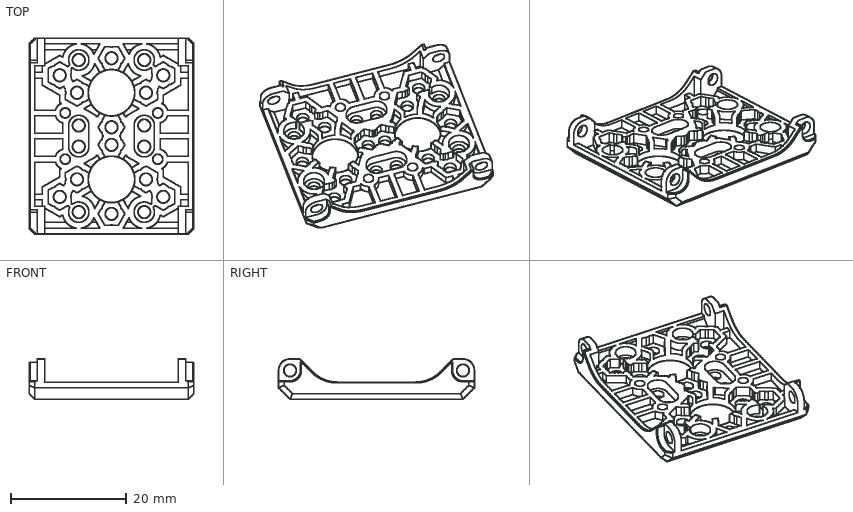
import cadquery as cq
import math

length_x = 28.6
length_y = 34.0
height = 7.0
half_x = length_x / 2
half_y = length_y / 2
side_bevel = 1.0
end_bevel = 2.0

rim_z = 3.0
floor_z = 1.5
nut_floor_z = 1.2
rim_width = 1.0
end_rim_width = 1.02
rib_width = 1.0

lug_hole_radius = 1.05
lug_round_radius = 2.0
lug_hole_y = half_y - lug_round_radius
lug_hole_z = height - lug_round_radius
lug_inner_x = 11.55
lug_outer_x = 12.9
lug_end_y = 12.2
crest_y = 13.33
crest_blend_radius = 0.45
sweep_radius = 6.0
recess_radius = 1.8
wall_top_z = 6.43
wall_edge_chamfer = 0.17

mount_y = 7.5
bore_radius = 4.0
bore_lip_radius = 0.5
bolt_circle = 6.0
corner_bolt_offset = 5.68
screw_radius = 1.05
diagonal_nut = (-8.98, 10.55)
pin_x = -8.02
pin_y = 4.0
pin_radius = 0.85
head_radius = 1.77
head_boss_radius = 2.82
slot_boss_reach = 2.8
web_end_y = 3.35
pin_boss_radius = 1.77

nut_apothem = 2.0
nut_boss_apothem = nut_apothem + rib_width
crush_rib_radius = 0.4
crush_rib_height = 0.1
nut_gap_length = 1.85
nut_gap_depth = 1.02
head_gap_width = 0.65

side_nut = (-bolt_circle, mount_y)
top_nut = (0, mount_y + bolt_circle)
centre_nut = (0, mount_y - bolt_circle)
head = (-corner_bolt_offset, mount_y + corner_bolt_offset)
slot_end = (-corner_bolt_offset, mount_y - corner_bolt_offset)
pin = (pin_x, pin_y)

nuts = [
    (diagonal_nut, 0, (0, 120, 240)),
    (side_nut, 0, (180, 60, 300)),
    (top_nut, 30, (90, 210, 330)),
    (centre_nut, 30, (30, 150, 210, 330)),
]

lean = math.sqrt(0.5)


def block(x0, x1, y0, y1, z0, z1):
    return cq.Workplane("XY").box(x1 - x0, y1 - y0, z1 - z0, centered=False).translate((x0, y0, z0))


def disc(centre, radius, z0, z1):
    return cq.Workplane("XY", origin=(0, 0, z0)).center(*centre).circle(radius).extrude(z1 - z0)


def hexagon(centre, apothem, flat_angle, z0, z1):
    prism = cq.Workplane("XY").polygon(6, 2 * apothem / math.cos(math.pi / 6)).extrude(z1 - z0)
    prism = prism.rotate((0, 0, 0), (0, 0, 1), flat_angle + 30)
    return prism.translate((centre[0], centre[1], z0))


def bar(centre, along, across, angle, z0, z1):
    strip = cq.Workplane("XY").rect(along, across).extrude(z1 - z0)
    return strip.rotate((0, 0, 0), (0, 0, 1), angle).translate((centre[0], centre[1], z0))


def midpoint(a, b):
    return ((a[0] + b[0]) / 2, (a[1] + b[1]) / 2)


def both_x(shape):
    return shape.union(shape.mirror("YZ"))


def four_ways(shape):
    left = shape.union(shape.mirror("XZ"))
    return both_x(left)


def side_profile():
    """Y-Z outline with the lugs, slopes and sweeping arcs, extruded over X."""
    half_slope = math.radians(22.5)
    sweep_top_z = rim_z + sweep_radius * (1 - lean)
    sweep_top_y = crest_y - (height - sweep_top_z)
    sweep_end_y = sweep_top_y - sweep_radius * lean
    sweep_mid = (
        sweep_end_y + sweep_radius * math.sin(half_slope),
        rim_z + sweep_radius * (1 - math.cos(half_slope)),
    )
    blend = crest_blend_radius * math.tan(half_slope)
    blend_start_y = crest_y + blend
    blend_mid = (
        blend_start_y - crest_blend_radius * math.sin(half_slope),
        height - crest_blend_radius * (1 - math.cos(half_slope)),
    )
    blend_end = (crest_y - blend * lean, height - blend * lean)
    round_mid = (lug_hole_y + lug_round_radius * lean, lug_hole_z + lug_round_radius * lean)

    half = (
        cq.Workplane("YZ")
        .moveTo(0, 0)
        .lineTo(half_y - end_bevel, 0)
        .lineTo(half_y, end_bevel)
        .lineTo(half_y, lug_hole_z)
        .threePointArc(round_mid, (lug_hole_y, height))
        .lineTo(blend_start_y, height)
        .threePointArc(blend_mid, blend_end)
        .lineTo(sweep_top_y, sweep_top_z)
        .threePointArc(sweep_mid, (sweep_end_y, rim_z))
        .lineTo(0, rim_z)
        .close()
        .extrude(half_x, both=True)
    )
    return half.union(half.mirror("XZ"))


def envelope():
    """Side profile with bevels running down the corners and along the bottom of both sides."""
    blank = (
        cq.Workplane("YZ")
        .polyline([
            (-half_y, end_bevel), (-half_y + end_bevel, 0), (half_y - end_bevel, 0),
            (half_y, end_bevel), (half_y, height + side_bevel), (-half_y, height + side_bevel),
        ])
        .close()
        .extrude(half_x, both=True)
        .faces("<X or >X")
        .chamfer(side_bevel)
    )
    return side_profile().intersect(blank)


def lug_recess():
    """Corner clearance outside one lug: a quarter round below, open to the end and the top."""
    recess_y = lug_hole_y - recess_radius
    barrel = (
        cq.Workplane("YZ", origin=(-half_x, 0, 0))
        .center(lug_hole_y, lug_hole_z)
        .circle(recess_radius)
        .extrude(half_x - lug_outer_x)
    )
    above = block(-half_x, -lug_outer_x, recess_y, half_y, lug_hole_z, height)
    beside = block(-half_x, -lug_outer_x, lug_hole_y, half_y, lug_hole_z - recess_radius, height)
    wall_cap = block(-half_x, -lug_outer_x, lug_end_y, half_y, wall_top_z, height)
    return barrel.union(above).union(beside).union(wall_cap)


def frame():
    """Solid tray with its side walls and lugs, before the inside is hollowed."""
    wall_inner_x = half_x - rim_width
    body = envelope()
    body = body.cut(block(-lug_inner_x, lug_inner_x, -half_y, half_y, rim_z, height))
    body = body.cut(block(-wall_inner_x, wall_inner_x, -lug_end_y, lug_end_y, rim_z, height))
    body = body.cut(four_ways(lug_recess()))
    corner_middle_x = half_x - side_bevel / 2
    margin = 0.05
    for side in (-1, 1):
        outer_edges = cq.selectors.BoxSelector(
            (side * (corner_middle_x - margin), -half_y, rim_z - margin),
            (side * (half_x + margin), half_y, height),
        )
        body = body.edges(outer_edges).chamfer(wall_edge_chamfer)
    lug_holes = (
        cq.Workplane("YZ")
        .pushPoints([(lug_hole_y, lug_hole_z), (-lug_hole_y, lug_hole_z)])
        .circle(lug_hole_radius)
        .extrude(half_x, both=True)
    )
    return body.cut(lug_holes)


def ribs():
    """Everything that stays standing inside the tray."""
    quarter = block(-half_x, -lug_inner_x, lug_end_y, half_y, 0, rim_z)
    for centre, flat_angle, _ in nuts:
        quarter = quarter.union(hexagon(centre, nut_boss_apothem, flat_angle, 0, rim_z))
    quarter = quarter.union(disc(head, head_boss_radius, 0, rim_z))
    quarter = quarter.union(disc(pin, pin_boss_radius, 0, rim_z))
    slot_outer_x = slot_end[0] - slot_boss_reach
    slot_boss = hexagon(slot_end, nut_boss_apothem, 0, 0, rim_z)
    quarter = quarter.union(slot_boss.intersect(block(slot_outer_x, 0, 0, half_y, 0, rim_z)))
    quarter = quarter.union(block(slot_outer_x, 0, 0, slot_end[1], 0, rim_z))
    quarter = quarter.union(block(slot_end[0], 0, 0, web_end_y, 0, rim_z))
    for start_x, y in ((slot_end[0], 0), pin, diagonal_nut):
        quarter = quarter.union(block(-half_x, start_x, y - rib_width / 2, y + rib_width / 2, 0, rim_z))
    return four_ways(quarter)


def cavity():
    """Inside of the tray, sloped at both ends to follow the outer bevel."""
    inner_x = half_x - rim_width
    inner_y = half_y - end_rim_width
    slope_top_z = floor_z + end_rim_width
    foot_y = inner_y - end_rim_width
    return (
        cq.Workplane("YZ")
        .polyline([
            (-foot_y, floor_z), (foot_y, floor_z), (inner_y, slope_top_z),
            (inner_y, rim_z), (-inner_y, rim_z), (-inner_y, slope_top_z),
        ])
        .close()
        .extrude(inner_x, both=True)
    )


def nut_pocket(centre, flat_angle, crush_angles):
    """Hexagonal pocket with slim crush ribs on some of its flats."""
    pocket = hexagon(centre, nut_apothem, flat_angle, nut_floor_z, rim_z)
    reach = nut_apothem + crush_rib_radius - crush_rib_height
    for angle in crush_angles:
        turn = math.radians(angle)
        at = (centre[0] + reach * math.cos(turn), centre[1] + reach * math.sin(turn))
        pocket = pocket.cut(disc(at, crush_rib_radius, nut_floor_z, rim_z))
    return pocket


def hardware_pockets():
    quarter = disc(head, head_radius, nut_floor_z, rim_z)
    for nut in nuts:
        quarter = quarter.union(nut_pocket(*nut))
    quarter = quarter.union(disc(slot_end, head_radius, nut_floor_z, rim_z))
    slot_x = slot_end[0]
    quarter = quarter.union(
        block(slot_x - head_radius, slot_x + head_radius, 0, slot_end[1], nut_floor_z, rim_z)
    )
    flat_length = 2 * nut_apothem * math.tan(math.pi / 6)
    bore_span = 2 * (bolt_circle - nut_apothem)
    quarter = quarter.union(bar((0, mount_y), bore_span, flat_length, 0, nut_floor_z, rim_z))
    quarter = quarter.union(bar((0, mount_y), bore_span, flat_length, 90, nut_floor_z, rim_z))
    nut_gap = midpoint(diagonal_nut, side_nut)
    quarter = quarter.union(bar(nut_gap, nut_gap_length, nut_gap_depth, 30, nut_floor_z, rim_z))
    run = (head[0] - diagonal_nut[0], head[1] - diagonal_nut[1])
    heading = math.degrees(math.atan2(run[1], run[0]))
    head_gap = midpoint(diagonal_nut, head)
    quarter = quarter.union(
        bar(head_gap, nut_apothem, head_gap_width, heading, nut_floor_z, rim_z)
    )
    return four_ways(quarter)


def through_holes():
    quarter = disc(pin, pin_radius, 0, rim_z)
    for centre in (diagonal_nut, side_nut, top_nut, centre_nut, head, slot_end):
        quarter = quarter.union(disc(centre, screw_radius, 0, rim_z))
    return four_ways(quarter)


def motor_bore():
    """Large bore that flares out with a rounded lip at the rib tops."""
    lip_outer = bore_radius + bore_lip_radius
    lip_mid = (lip_outer - bore_lip_radius * lean, rim_z - bore_lip_radius * (1 - lean))
    bore = (
        cq.Workplane("XZ")
        .moveTo(0, 0)
        .lineTo(bore_radius, 0)
        .lineTo(bore_radius, rim_z - bore_lip_radius)
        .threePointArc(lip_mid, (lip_outer, rim_z))
        .lineTo(0, rim_z)
        .close()
        .revolve(360, (0, 0, 0), (0, 1, 0))
    )
    return bore.translate((0, mount_y, 0))


result = frame().cut(cavity().cut(ribs()))
result = result.cut(hardware_pockets())
result = result.cut(through_holes())
result = result.cut(motor_bore()).cut(motor_bore().mirror("XZ"))